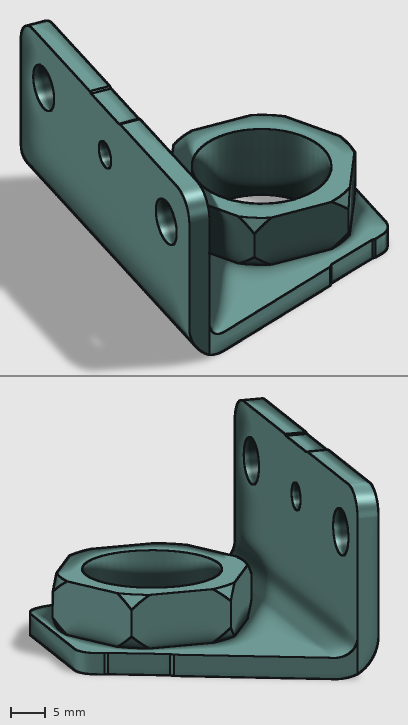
import cadquery as cq
import math

width = 55.0
depth = 40.0
height = 28.0
thickness = 3.2
inner_bend_radius = 3.1
outer_bend_radius = inner_bend_radius + thickness
upright_corner_radius = 4.0

shoulder_width = 34.45
shoulder_y = 27.5
step_inset = 0.5
step_length = 0.45
tip_step_width = 26.6
tip_step_y = 36.15
tip_step_length = 0.5
tip_corner_radius = 3.3

relief_width = 9.9
relief_floor_width = 9.0
relief_depth = 0.15

mount_hole_diameter = 6.8
mount_hole_spacing = 40.0
pilot_hole_diameter = 4.0
upright_hole_z = 20.0

bore_diameter = 20.0
nut_flats = 26.0
nut_height = 8.0
nut_corners = nut_flats / math.cos(math.radians(30))
nut_center_y = depth - nut_corners / 2
nut_face_radius = 13.85
nut_chamfer_angle = 30.0


def bent_sheet():
    """Constant-thickness L section, extruded across the full width."""
    section = (
        cq.Workplane("YZ")
        .moveTo(depth, 0)
        .lineTo(outer_bend_radius, 0)
        .radiusArc((0, outer_bend_radius), outer_bend_radius)
        .lineTo(0, height)
        .lineTo(thickness, height)
        .lineTo(thickness, outer_bend_radius)
        .radiusArc((outer_bend_radius, thickness), -inner_bend_radius)
        .lineTo(depth, thickness)
        .close()
    )
    return section.extrude(width / 2, both=True)


def plan_outline():
    """Plan shape: full width at the upright, then tapering with two small steps on each side."""
    half_shoulder = shoulder_width / 2
    half_tip_step = tip_step_width / 2
    flank_angle = math.atan2(shoulder_y - thickness, width / 2 - half_shoulder)

    flank_end_y = depth - tip_corner_radius * (1 - math.cos(flank_angle))
    flank_rise = flank_end_y - tip_step_y - tip_step_length
    flank_end_x = half_tip_step - flank_rise / math.tan(flank_angle)
    rear_edge_x = flank_end_x - tip_corner_radius * math.sin(flank_angle)

    right_side = [
        (width / 2, 0),
        (width / 2, thickness),
        (half_shoulder, shoulder_y),
        (half_shoulder - step_inset, shoulder_y + step_length),
        (half_tip_step, tip_step_y),
        (half_tip_step, tip_step_y + tip_step_length),
        (flank_end_x, flank_end_y),
    ]
    left_side = [(-x, y) for x, y in reversed(right_side)]
    return (
        cq.Workplane("XY")
        .polyline(right_side)
        .radiusArc((rear_edge_x, depth), -tip_corner_radius)
        .lineTo(-rear_edge_x, depth)
        .radiusArc(left_side[0], -tip_corner_radius)
        .polyline(left_side[1:], includeCurrent=True)
        .close()
        .extrude(height)
    )


def upright_relief():
    """Trapezoidal cutter for the relief in the top edge."""
    return (
        cq.Workplane("XZ")
        .polyline([
            (-relief_width / 2, height),
            (-relief_floor_width / 2, height - relief_depth),
            (relief_floor_width / 2, height - relief_depth),
            (relief_width / 2, height),
        ])
        .close()
        .extrude(-thickness)
    )


def upright_hole(x, diameter):
    """Cutter for a hole through the upright."""
    return cq.Workplane("XZ").center(x, upright_hole_z).circle(diameter / 2).extrude(-thickness)


def nut():
    """Hexagonal body with conically chamfered corners at both ends, corners along Y."""
    hexagon = cq.Workplane("XY").polygon(6, nut_corners).extrude(nut_height)
    hexagon = hexagon.rotate((0, 0, 0), (0, 0, 1), 90)
    half_height = nut_height / 2
    middle_radius = nut_face_radius + half_height * math.tan(math.radians(nut_chamfer_angle))
    chamfer_envelope = (
        cq.Workplane("XZ")
        .polyline([
            (0, 0),
            (nut_face_radius, 0),
            (middle_radius, half_height),
            (nut_face_radius, nut_height),
            (0, nut_height),
        ])
        .close()
        .revolve(360, (0, 0, 0), (0, 1, 0))
    )
    return hexagon.intersect(chamfer_envelope).translate((0, nut_center_y, thickness))


bracket = bent_sheet()
bracket = bracket.edges("|Y and >Z").fillet(upright_corner_radius)
bracket = bracket.intersect(plan_outline())
bracket = bracket.cut(upright_relief())
for hole_x in (-mount_hole_spacing / 2, mount_hole_spacing / 2):
    bracket = bracket.cut(upright_hole(hole_x, mount_hole_diameter))
bracket = bracket.cut(upright_hole(0, pilot_hole_diameter))

bore = (
    cq.Workplane("XY")
    .center(0, nut_center_y)
    .circle(bore_diameter / 2)
    .extrude(thickness + nut_height)
)
result = bracket.union(nut()).cut(bore)